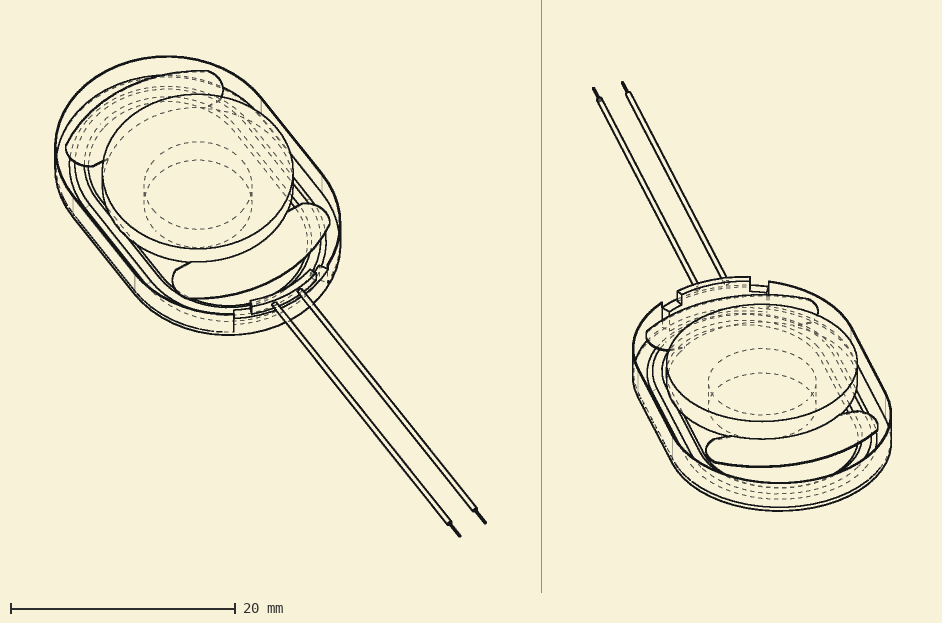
import cadquery as cq
import math

housing_length = 30.0
housing_width = 20.0
housing_height = 3.1
wall = 0.09
floor_height = 0.35
end_radius = housing_width / 2
end_center_x = housing_length / 2 - end_radius
cavity_width = housing_width - 2 * wall

surround_width = 17.4
surround_height = 0.25
surround_outer_slope = 0.5
surround_crest = 0.85
surround_inner_slope = 0.35

disc_diameter = 17.0
pedestal_diameter = 9.6
overall_height = 5.2
pad_top = 3.25
pad_outer_x = 12.4
pad_inner_x = 6.8
pad_shoulder = (9.95, 7.55)
pad_tip = (8.65, 7.9)
pad_inner_corner_y = 6.7

notch_half_angle = 30.0
notch_depth = 0.6
block_top = housing_height - notch_depth
strip_half_angle = 20.5
strip_inner_radius = 9.05
strip_outer_radius = 9.7
strip_height = 1.15

wire_diameter = 0.47
core_diameter = 0.16
wire_spacing = 2.7
wire_end_x = 43.3
core_end_x = 45.0
wire_z = housing_height
wire_start_x = end_center_x + (strip_inner_radius + strip_outer_radius) / 2


def obround(width, height, base_z):
    """Obround slab whose end arcs share the housing's arc centres."""
    length = 2 * end_center_x + width
    return cq.Workplane("XY").workplane(offset=base_z).slot2D(length, width).extrude(height)


def tapered_obround(lower_width, upper_width):
    """Obround of surround height with straight sloping sides."""
    return (
        cq.Workplane("XY")
        .workplane(offset=floor_height)
        .slot2D(2 * end_center_x + lower_width, lower_width)
        .workplane(offset=surround_height)
        .slot2D(2 * end_center_x + upper_width, upper_width)
        .loft(ruled=True)
    )


def rim_sector(inner_radius, outer_radius, half_angle, base_z, height):
    """Ring sector about the +X end arc centre, symmetric about the X axis."""
    angle = math.radians(half_angle)

    def point(radius, direction):
        return (end_center_x + radius * math.cos(direction), radius * math.sin(direction))

    return (
        cq.Workplane("XY")
        .workplane(offset=base_z)
        .moveTo(*point(inner_radius, -angle))
        .lineTo(*point(outer_radius, -angle))
        .threePointArc(point(outer_radius, 0), point(outer_radius, angle))
        .lineTo(*point(inner_radius, angle))
        .threePointArc(point(inner_radius, 0), point(inner_radius, -angle))
        .close()
        .extrude(height)
    )


def make_housing():
    tray = obround(housing_width, housing_height, 0)
    tray = tray.cut(obround(cavity_width, housing_height, floor_height))
    notch = rim_sector(strip_inner_radius, end_radius + wall, notch_half_angle, block_top, 2 * notch_depth)
    return tray.cut(notch)


def make_surround():
    crest_outer_width = surround_width - 2 * surround_outer_slope
    crest_inner_width = crest_outer_width - 2 * surround_crest
    foot_inner_width = crest_inner_width - 2 * surround_inner_slope
    ridge = tapered_obround(surround_width, crest_outer_width)
    return ridge.cut(tapered_obround(foot_inner_width, crest_inner_width))


def make_pad():
    """Thin pad on the +X side, level with the underside of the disc."""
    return (
        cq.Workplane("XY")
        .workplane(offset=housing_height)
        .moveTo(pad_inner_x, -pad_inner_corner_y)
        .threePointArc((pad_tip[0], -pad_tip[1]), (pad_shoulder[0], -pad_shoulder[1]))
        .threePointArc((pad_outer_x, 0), pad_shoulder)
        .threePointArc(pad_tip, (pad_inner_x, pad_inner_corner_y))
        .close()
        .extrude(pad_top - housing_height)
    )


def make_rod(diameter, y, end_x):
    return (
        cq.Workplane("YZ")
        .workplane(offset=wire_start_x)
        .center(y, wire_z)
        .circle(diameter / 2)
        .extrude(end_x - wire_start_x)
    )


def make_cylinder(diameter, base_z, top_z):
    return cq.Workplane("XY").workplane(offset=base_z).circle(diameter / 2).extrude(top_z - base_z)


pad = make_pad()
pedestal = make_cylinder(pedestal_diameter, floor_height, housing_height)
disc = make_cylinder(disc_diameter, housing_height, overall_height)
block = rim_sector(
    strip_inner_radius, end_radius - wall / 2, notch_half_angle, floor_height, block_top - floor_height
)
strip = rim_sector(strip_inner_radius, strip_outer_radius, strip_half_angle, block_top, strip_height)

result = make_housing()
for feature in (make_surround(), pedestal, disc, pad, pad.mirror("YZ"), block, strip):
    result = result.union(feature)
for wire_y in (-wire_spacing / 2, wire_spacing / 2):
    result = result.union(make_rod(wire_diameter, wire_y, wire_end_x))
    result = result.union(make_rod(core_diameter, wire_y, core_end_x))